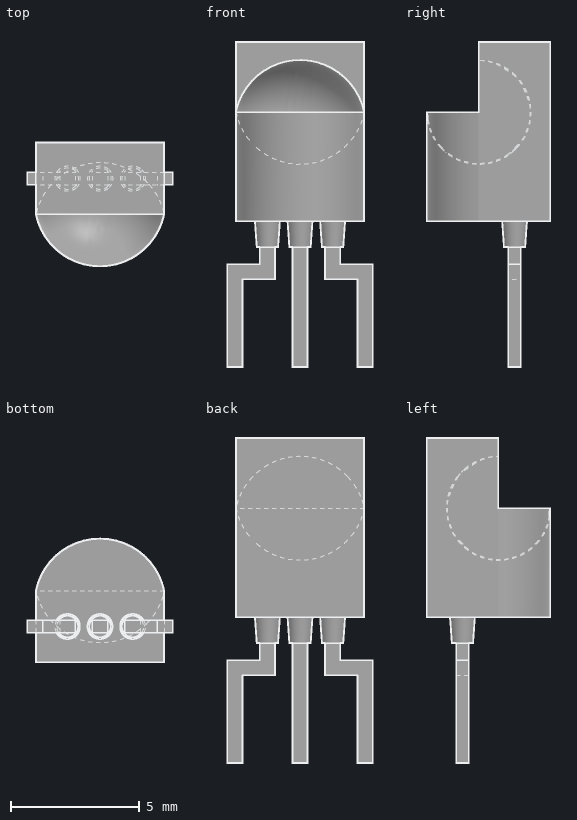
import cadquery as cq

BODY_WIDTH = 5.0
BODY_DEPTH = 2.8
BODY_HEIGHT = 7.0
COLUMN_BULGE = 2.03
COLUMN_HEIGHT = 4.26

COLLAR_TOP_DIAMETER = 0.98
COLLAR_BOTTOM_DIAMETER = 0.84
COLLAR_HEIGHT = 1.0

LEAD_WIDTH = 0.6
LEAD_THICKNESS = 0.5
LEAD_LENGTH = 5.68
COLLAR_PITCH = 1.27
TIP_PITCH = 2 * COLLAR_PITCH
CRANK_DROP = 1.66

HALF_WIDTH = BODY_WIDTH / 2
FRONT_Y = -BODY_DEPTH / 2


def bulge_profile(workplane):
    """Circular segment spanning the body width, rising by the column bulge."""
    return (
        workplane.moveTo(-HALF_WIDTH, 0)
        .threePointArc((0, -COLUMN_BULGE), (HALF_WIDTH, 0))
        .close()
    )


def make_body():
    block = cq.Workplane("XY").box(BODY_WIDTH, BODY_DEPTH, BODY_HEIGHT, centered=(True, True, False))
    column_plane = cq.Workplane("XY", origin=(0, FRONT_Y, 0))
    column = bulge_profile(column_plane).extrude(COLUMN_HEIGHT)
    return block.union(column)


def make_bowl():
    """Lens-shaped hollow: the column outline spun about the chord at the column top."""
    chord_plane = cq.Workplane("XY", origin=(0, FRONT_Y, COLUMN_HEIGHT))
    return bulge_profile(chord_plane).revolve(360, (-HALF_WIDTH, 0), (HALF_WIDTH, 0))


def make_collar(x):
    return (
        cq.Workplane("XY", origin=(x, 0, 0))
        .circle(COLLAR_TOP_DIAMETER / 2)
        .workplane(offset=-COLLAR_HEIGHT)
        .circle(COLLAR_BOTTOM_DIAMETER / 2)
        .loft()
    )


def extrude_lead(outline):
    return outline.close().extrude(LEAD_THICKNESS / 2, both=True)


def make_straight_lead():
    half = LEAD_WIDTH / 2
    outline = cq.Workplane("XZ").polyline(
        [(-half, -COLLAR_HEIGHT), (half, -COLLAR_HEIGHT), (half, -LEAD_LENGTH), (-half, -LEAD_LENGTH)]
    )
    return extrude_lead(outline)


def make_cranked_lead(side):
    """Lead stepping outwards in X; side is +1 or -1."""
    half = LEAD_WIDTH / 2
    root_inner = side * (COLLAR_PITCH - half)
    root_outer = side * (COLLAR_PITCH + half)
    tip_inner = side * (TIP_PITCH - half)
    tip_outer = side * (TIP_PITCH + half)
    crank_top = -CRANK_DROP
    crank_bottom = crank_top - LEAD_WIDTH
    outline = cq.Workplane("XZ").polyline(
        [
            (root_inner, -COLLAR_HEIGHT),
            (root_outer, -COLLAR_HEIGHT),
            (root_outer, crank_top),
            (tip_outer, crank_top),
            (tip_outer, -LEAD_LENGTH),
            (tip_inner, -LEAD_LENGTH),
            (tip_inner, crank_bottom),
            (root_inner, crank_bottom),
        ]
    )
    return extrude_lead(outline)


result = make_body().cut(make_bowl())
for collar_x in (-COLLAR_PITCH, 0, COLLAR_PITCH):
    result = result.union(make_collar(collar_x))
result = result.union(make_straight_lead())
for lead_side in (-1, 1):
    result = result.union(make_cranked_lead(lead_side))